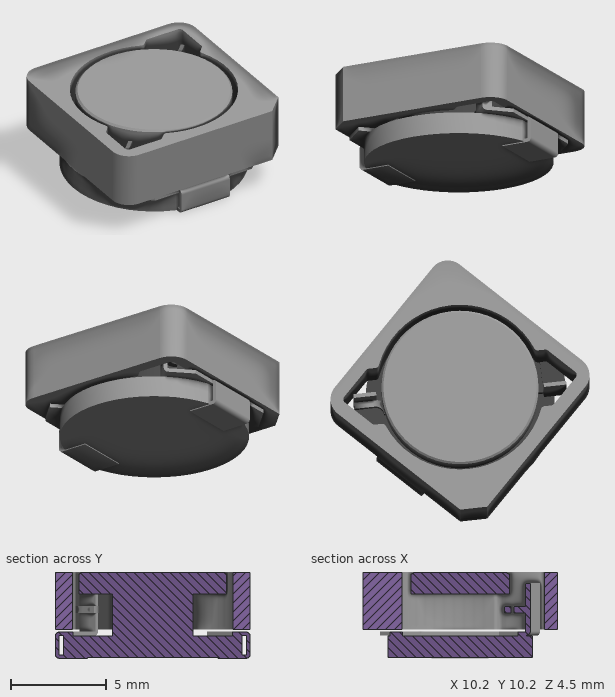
import cadquery as cq
import math


total_height = 4.5
shield_height = 3.0
flange_bottom = 0.05
flange_thickness = 1.14

shield_width = 10.2
shield_corner = 1.0
shield_bore_diameter = 8.79
pocket_width = 3.0
pocket_edge_radius = 0.2

lower_flange_diameter = 9.89
lower_flange_flats = 9.35
column_diameter = 5.0
upper_flange_diameter = 8.2
upper_flange_chamfer = 0.1

sheet = 0.2
bend_radius = 0.22
clip_width = 2.98
foot_inner_x = 3.4
plate_inner_x = 4.14
plate_outer_half_width = 2.99
arm_inner_reach = 4.38
arm_side_offset = 0.36
fold_top = 3.93

wire_width = 0.35
bent_lead_z = 2.55
lead_bend_start = 4.49
lead_bend_radius = 0.61

shield_bottom = total_height - shield_height
bore_radius = shield_bore_diameter / 2
flange_top = flange_bottom + flange_thickness
upper_flange_bottom = total_height - flange_thickness
plate_top = flange_top + sheet
terminal_outer_x = shield_width / 2
plate_outer_x = terminal_outer_x - bend_radius
arm_tip_reach = (plate_outer_x + plate_outer_half_width) / math.sqrt(2)
straight_lead_z = plate_top + wire_width / 2
diagonal_angle = 135


def diagonal_point(reach, offset):
    """XY point 'reach' out along the -X +Y diagonal and 'offset' towards +X +Y."""
    return ((offset - reach) / math.sqrt(2), (offset + reach) / math.sqrt(2))


def make_disc(diameter, bottom, top):
    return cq.Workplane("XY").workplane(offset=bottom).circle(diameter / 2).extrude(top - bottom)


def make_shield():
    level = cq.Workplane("XY").workplane(offset=shield_bottom)
    block = level.rect(shield_width, shield_width).extrude(shield_height)
    block = block.edges("|Z and (<X or <Y)").fillet(shield_corner)
    block = block.edges("|Z and >(1,1,0)").chamfer(shield_corner)

    slot = level.rect(2 * shield_width, pocket_width).extrude(shield_height)
    slot = slot.rotate((0, 0, 0), (0, 0, 1), diagonal_angle)
    square = level.rect(shield_bore_diameter, shield_bore_diameter).extrude(shield_height)
    opening = level.circle(bore_radius).extrude(shield_height).union(slot.intersect(square))
    opening = opening.edges("|Z").fillet(pocket_edge_radius)
    return block.cut(opening)


def make_drum():
    lower_flange = make_disc(lower_flange_diameter, flange_bottom, flange_top)
    flats = cq.Workplane("XY").box(lower_flange_flats, shield_width, 2 * total_height)
    column = make_disc(column_diameter, flange_top, upper_flange_bottom)
    upper_flange = make_disc(upper_flange_diameter, upper_flange_bottom, total_height)
    upper_flange = upper_flange.faces(">Z").chamfer(upper_flange_chamfer)
    return lower_flange.intersect(flats).union(column).union(upper_flange)


def make_clip():
    """C-shaped strip at -X: foot under the core, upright side and top lap."""
    outer_length = terminal_outer_x - foot_inner_x
    clip = (
        cq.Workplane("XY")
        .box(outer_length, clip_width, plate_top, centered=(False, True, False))
        .translate((-terminal_outer_x, 0, 0))
        .edges("|Y and <X").fillet(bend_radius)
    )
    gap = (
        cq.Workplane("XY")
        .box(outer_length, clip_width, flange_top - sheet, centered=(False, True, False))
        .translate((sheet - terminal_outer_x, 0, sheet))
    )
    lap_end = (
        cq.Workplane("XY")
        .box(plate_inner_x, clip_width, plate_top, centered=(False, True, False))
        .translate((-plate_inner_x, 0, flange_top))
    )
    return clip.cut(gap).cut(lap_end)


def make_plate():
    """Flat plate on the lower flange with an arm towards each corner."""
    arm_root_y = arm_inner_reach * math.sqrt(2) - plate_inner_x
    upper_half = [
        (-plate_inner_x, arm_root_y),
        diagonal_point(arm_inner_reach, arm_side_offset),
        diagonal_point(arm_tip_reach, arm_side_offset),
        (-plate_outer_x, plate_outer_half_width),
    ]
    lower_half = [(x, -y) for x, y in reversed(upper_half)]
    level = cq.Workplane("XY").workplane(offset=flange_top)
    return level.polyline(upper_half + lower_half).close().extrude(sheet)


def make_fold():
    """Upright wall along the far side of the +Y arm."""
    wall = (
        cq.Workplane("XY")
        .box(arm_tip_reach - arm_inner_reach, sheet, fold_top - flange_top, centered=False)
        .translate((arm_inner_reach, -arm_side_offset, flange_top))
    )
    return wall.rotate((0, 0, 0), (0, 0, 1), diagonal_angle)


def make_terminal():
    """Terminal on the -X side."""
    terminal = make_clip().union(make_plate()).union(make_fold())
    bend_middle = diagonal_point((arm_inner_reach + arm_tip_reach) / 2, arm_side_offset)
    bend_edge = cq.selectors.NearestToPointSelector((*bend_middle, flange_top))
    return terminal.edges(bend_edge).fillet(bend_radius)


def make_straight_lead():
    """Wire along the -X +Y diagonal, from the arm tip to the core column."""
    wire = (
        cq.Workplane("YZ").center(0, straight_lead_z)
        .rect(wire_width, wire_width).extrude(arm_tip_reach)
    )
    return wire.rotate((0, 0, 0), (0, 0, 1), diagonal_angle)


def make_bent_lead():
    """Wire along the +X -Y diagonal that turns to run round under the upper flange."""
    bend_end_reach = lead_bend_start - lead_bend_radius
    bend_middle_shift = lead_bend_radius * math.sqrt(0.5)
    path = (
        cq.Workplane("XY").workplane(offset=bent_lead_z)
        .moveTo(arm_tip_reach, 0)
        .lineTo(lead_bend_start, 0)
        .threePointArc(
            (lead_bend_start - bend_middle_shift, lead_bend_radius - bend_middle_shift),
            (bend_end_reach, lead_bend_radius),
        )
    )
    wire = (
        cq.Workplane("YZ").workplane(offset=arm_tip_reach).center(0, bent_lead_z)
        .rect(wire_width, wire_width).sweep(path)
    )
    return wire.rotate((0, 0, 0), (0, 0, 1), diagonal_angle + 180)


def make_core():
    """Drum, both terminals and both leads as one solid."""
    core = make_drum()
    terminal = make_terminal()
    for angle in (0, 180):
        core = core.union(terminal.rotate((0, 0, 0), (0, 0, 1), angle))
    return core.union(make_straight_lead()).union(make_bent_lead())


shield = make_shield()
core = make_core()

result = cq.Compound.makeCompound([shield.solids().val(), core.solids().val()])